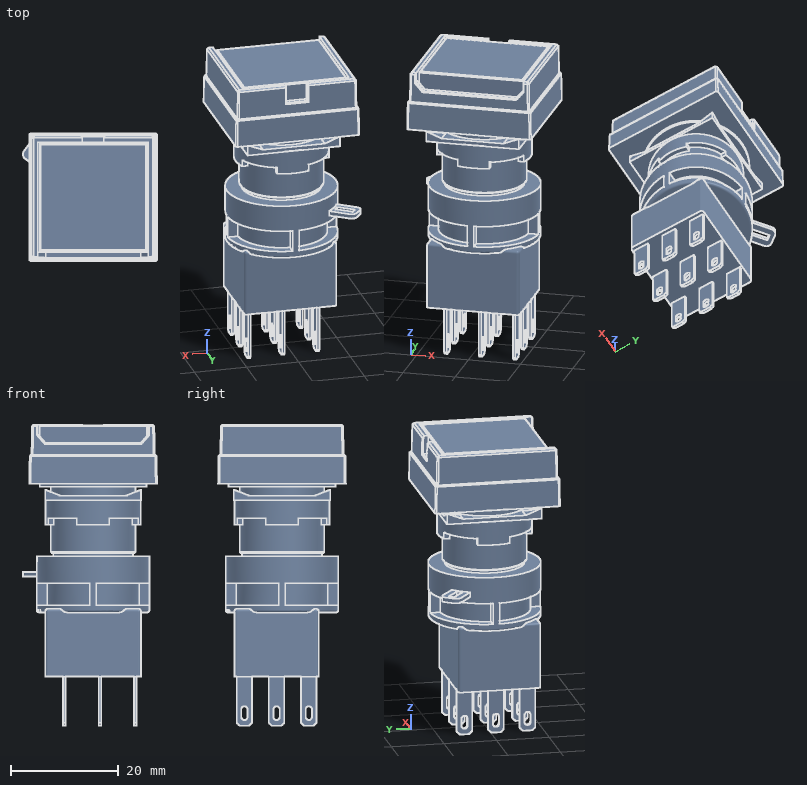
import cadquery as cq

TOTAL_HEIGHT = 56.0
CAP_TOP = 55.9
BEZEL_STEP = 50.35
BEZEL_BOTTOM = 44.95
GASKET_BOTTOM = 44.4
BARREL_BOTTOM = 32.1
HOUSING_TOP = 31.5
HOUSING_BOTTOM = 21.05
BLOCK_TOP = 21.8
BLOCK_BOTTOM = 9.1

BEZEL_SIDE = 23.8
BEZEL_UPPER_SIDE = 22.95
BEZEL_DRAFT = 1.0
BEZEL_CORNER_CHAMFER = 0.3
BEZEL_STEP_CHAMFER = 0.2
RIM_CHAMFER = 0.35
CAP_SIDE = 19.95
CAP_CHAMFER = 0.2
POCKET_SIDE = 20.5
NOTCH_FLOOR = 52.6
NOTCH_SHOULDER = 54.15
NOTCH_FLOOR_WIDTH = 17.7
NOTCH_EDGE_CHAMFER = 0.2
BACK_NOTCH_WIDTH = 4.05
GASKET_RADIUS = 9.95
BARREL_RADIUS = 7.9
BARREL_CHAMFER = 0.2
NECK_RADIUS = 7.45

NUT_DIAMETER = 17.75
NUT_BOTTOM = 37.35
NUT_TAB_ROOT = 38.6
NUT_TAB_WIDTH = 6.05
NUT_PLATE_BOTTOM = 41.9
NUT_PLATE_TOP = 42.7
NUT_CORNER_TOP = 43.9
NUT_PLATE_X = 17.8
NUT_PLATE_Y = 18.05
NUT_CHANNEL_FLOOR_WIDTH = 11.9

HOUSING_DIAMETER = 21.0
HOUSING_EDGE_RADIUS = 0.5
WINDOW_TOP = 26.5
WINDOW_BOTTOM = 22.45
WINDOW_CORE_RADIUS = 8.55
RIB_WIDTH = 1.25
BLOCK_WIDTH = 17.8
BLOCK_FRONT = -8.85
BLOCK_BACK = 6.85
BLOCK_EDGE_RADIUS = 0.55
LUG_ANGLE = 143.0
LUG_END = 15.45
LUG_WIDTH = 3.8
LUG_CORNER_RADIUS = 1.05
LUG_BOTTOM = 27.7
LUG_THICKNESS = 0.9
LUG_SLOT_START = 11.0
LUG_SLOT_END = 14.5
LUG_SLOT_WIDTH = 1.1
TERMINAL_X = (-5.4, 1.3, 7.85)
TERMINAL_PITCH_Y = 6.0
TERMINAL_MIDDLE_Y = -1.0
TERMINAL_WIDTH = 2.9
TERMINAL_THICKNESS = 0.5
TERMINAL_CHAMFER = 0.55
EYE_WIDTH = 1.1
EYE_HEIGHT = 2.5
EYE_MIDDLE = 2.35


def cylinder(radius, bottom, top):
    return cq.Workplane("XY").workplane(offset=bottom).circle(radius).extrude(top - bottom)


def box(x_range, y_range, z_range):
    """Box between pairs of limits along X, Y and Z."""
    size = [high - low for low, high in (x_range, y_range, z_range)]
    corner = (x_range[0], y_range[0], z_range[0])
    return cq.Workplane("XY").box(*size, centered=False).translate(corner)


def centred_box(width_x, width_y, bottom, top):
    half_x = width_x / 2
    half_y = width_y / 2
    return box((-half_x, half_x), (-half_y, half_y), (bottom, top))


def drafted_square(side, bottom, top):
    """Square block that narrows upward, with chamfered upright edges."""
    block = cq.Workplane("XY").workplane(offset=bottom).rect(side, side)
    block = block.extrude(top - bottom, taper=BEZEL_DRAFT)
    return block.edges("not(|X or |Y)").chamfer(BEZEL_CORNER_CHAMFER)


def front_notch():
    """Opening in the front wall, with sloped lower corners."""
    half_top = POCKET_SIDE / 2
    half_floor = NOTCH_FLOOR_WIDTH / 2
    outline = [
        (-half_top, TOTAL_HEIGHT),
        (-half_top, NOTCH_SHOULDER),
        (-half_floor, NOTCH_FLOOR),
        (half_floor, NOTCH_FLOOR),
        (half_top, NOTCH_SHOULDER),
        (half_top, TOTAL_HEIGHT),
    ]
    depth = BEZEL_SIDE / 2
    return cq.Workplane("XZ").polyline(outline).close().extrude(depth)


def chamfer_notch_edges(bezel, outer_side):
    """Break the edges of a wall opening on the outer face of the front or back wall."""
    reach = (POCKET_SIDE + RIM_CHAMFER) / 2
    opening = cq.selectors.BoxSelector(
        (-reach, -BEZEL_SIDE, NOTCH_FLOOR - RIM_CHAMFER), (reach, BEZEL_SIDE, TOTAL_HEIGHT - RIM_CHAMFER)
    )
    return bezel.faces(outer_side).edges(opening).chamfer(NOTCH_EDGE_CHAMFER)


def build_operator():
    lower = drafted_square(BEZEL_SIDE, BEZEL_BOTTOM, BEZEL_STEP)
    lower = lower.faces(">Z").chamfer(BEZEL_STEP_CHAMFER)
    upper = drafted_square(BEZEL_UPPER_SIDE, BEZEL_STEP, TOTAL_HEIGHT)
    upper = upper.faces(">Z").chamfer(RIM_CHAMFER)

    upper = upper.cut(centred_box(POCKET_SIDE, POCKET_SIDE, BEZEL_STEP, TOTAL_HEIGHT)).cut(front_notch())
    half_back_notch = BACK_NOTCH_WIDTH / 2
    back_notch = box(
        (-half_back_notch, half_back_notch), (0, BEZEL_SIDE / 2), (NOTCH_FLOOR, TOTAL_HEIGHT)
    )
    upper = upper.cut(back_notch)

    upper = chamfer_notch_edges(chamfer_notch_edges(upper, "<Y"), ">Y")

    cap = centred_box(CAP_SIDE, CAP_SIDE, BEZEL_STEP, CAP_TOP).faces(">Z").chamfer(CAP_CHAMFER)

    gasket = cylinder(GASKET_RADIUS, GASKET_BOTTOM, BEZEL_BOTTOM)
    barrel = cylinder(BARREL_RADIUS, BARREL_BOTTOM, GASKET_BOTTOM).faces("<Z").chamfer(BARREL_CHAMFER)
    neck = cylinder(NECK_RADIUS, HOUSING_TOP, BARREL_BOTTOM)
    return lower.union(upper).union(cap).union(gasket).union(barrel).union(neck)


def nut_channel(length):
    """Flat-bottomed channel along Y with sloped sides, which leaves the plate corners raised."""
    half_floor = NUT_CHANNEL_FLOOR_WIDTH / 2
    half_top = NUT_PLATE_X / 2
    outline = [
        (-half_floor, NUT_PLATE_TOP),
        (half_floor, NUT_PLATE_TOP),
        (half_top, NUT_CORNER_TOP),
        (-half_top, NUT_CORNER_TOP),
    ]
    return cq.Workplane("XZ").polyline(outline).close().extrude(length / 2, both=True)


def build_nut():
    sleeve = cylinder(NUT_DIAMETER / 2, NUT_BOTTOM, NUT_PLATE_BOTTOM)
    tab_cross = centred_box(NUT_TAB_WIDTH, NUT_DIAMETER, NUT_BOTTOM, NUT_TAB_ROOT)
    tab_cross = tab_cross.union(centred_box(NUT_DIAMETER, NUT_TAB_WIDTH, NUT_BOTTOM, NUT_TAB_ROOT))
    tab_gaps = cylinder(NUT_DIAMETER / 2, NUT_BOTTOM, NUT_TAB_ROOT).cut(tab_cross)

    plate = centred_box(NUT_PLATE_X, NUT_PLATE_Y, NUT_PLATE_BOTTOM, NUT_CORNER_TOP)
    channel = nut_channel(NUT_PLATE_Y)
    plate = plate.cut(channel).cut(channel.rotate((0, 0, 0), (0, 0, 1), 90))

    bore = cylinder(BARREL_RADIUS, NUT_BOTTOM, NUT_CORNER_TOP)
    return sleeve.cut(tab_gaps).union(plate).cut(bore)


def build_housing():
    """Round housing with four windows separated by ribs on the X and Y axes."""
    housing = cylinder(HOUSING_DIAMETER / 2, HOUSING_BOTTOM, HOUSING_TOP)
    housing = housing.faces("<Z").edges().fillet(HOUSING_EDGE_RADIUS)
    windows = cylinder(HOUSING_DIAMETER / 2, WINDOW_BOTTOM, WINDOW_TOP)
    windows = windows.cut(cylinder(WINDOW_CORE_RADIUS, WINDOW_BOTTOM, WINDOW_TOP))
    windows = windows.cut(centred_box(RIB_WIDTH, HOUSING_DIAMETER, WINDOW_BOTTOM, WINDOW_TOP))
    windows = windows.cut(centred_box(HOUSING_DIAMETER, RIB_WIDTH, WINDOW_BOTTOM, WINDOW_TOP))
    return housing.cut(windows)


def build_block():
    half_width = BLOCK_WIDTH / 2
    block = box((-half_width, half_width), (BLOCK_FRONT, BLOCK_BACK), (BLOCK_BOTTOM, BLOCK_TOP))
    return block.edges("|Z or >Z").fillet(BLOCK_EDGE_RADIUS)


def build_lug():
    """Slotted lug that points away from the axis; modelled along X, then turned."""
    half_width = LUG_WIDTH / 2
    half_slot = LUG_SLOT_WIDTH / 2
    height = (LUG_BOTTOM, LUG_BOTTOM + LUG_THICKNESS)
    lug = box((0, LUG_END), (-half_width, half_width), height)
    lug = lug.edges("|Z and >X").fillet(LUG_CORNER_RADIUS)
    lug = lug.cut(box((LUG_SLOT_START, LUG_SLOT_END), (-half_slot, half_slot), height))
    return lug.rotate((0, 0, 0), (0, 0, 1), LUG_ANGLE)


def build_terminal(x, y):
    half_thickness = TERMINAL_THICKNESS / 2
    half_width = TERMINAL_WIDTH / 2
    blade = box((-half_thickness, half_thickness), (-half_width, half_width), (0, BLOCK_BOTTOM))
    blade = blade.edges("|X and <Z").chamfer(TERMINAL_CHAMFER)
    eye = cq.Workplane("YZ").center(0, EYE_MIDDLE).slot2D(EYE_HEIGHT, EYE_WIDTH, 90)
    blade = blade.cut(eye.extrude(half_thickness, both=True))
    return blade.translate((x, y, 0))


def build_contact_unit():
    unit = build_housing().union(build_block()).union(build_lug())
    for x in TERMINAL_X:
        for row in (-1, 0, 1):
            unit = unit.union(build_terminal(x, TERMINAL_MIDDLE_Y + row * TERMINAL_PITCH_Y))
    return unit


operator = build_operator()
nut = build_nut()
contact_unit = build_contact_unit()

result = cq.Compound.makeCompound([operator.val(), nut.val(), contact_unit.val()])